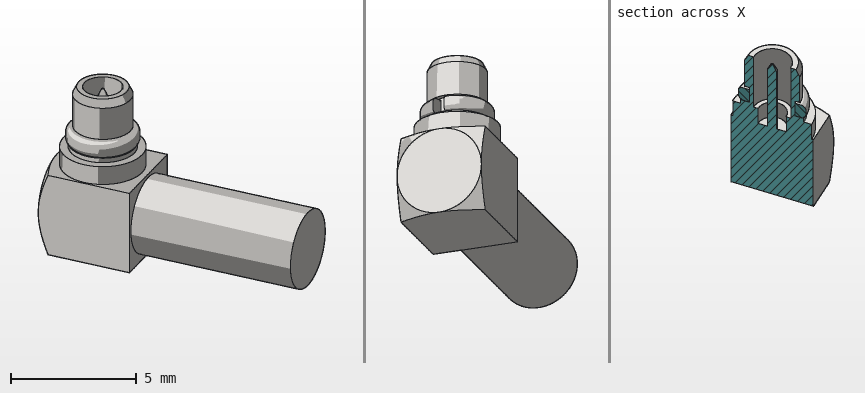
import cadquery as cq
import math


total_length = 11.0
block_length = 4.0
block_side = 3.6
bevel_angle = 30.0
barrel_diameter = 3.3

socket_x = block_length / 2
total_height = 7.1
collar_radius = 1.73
collar_height = 0.8
seat_radius = 1.39
seat_height = 0.2
groove_radius = 1.0
head_radius = 1.21
head_bottom = 5.36
head_chamfer_height = 0.33
rim_radius = 1.05
collar_top = block_side + collar_height
seat_top = collar_top + seat_height

bore_radius = 0.8
inner_bore_radius = 0.6
pin_radius = 0.21
pin_tip_radius = 0.04
pin_top = total_height - 0.1
pin_tip_height = 0.34

ring_radius = 1.48
ring_height = 0.67
ring_round = 0.23
gap_start_angle = 160.0
gap_end_angle = 180.0


def revolve_on_socket_axis(profile, angle=360):
    """Revolve an XZ profile about the Z axis, then move it to the socket."""
    return profile.close().revolve(angle, (0, 0, 0), (0, 1, 0))


def make_block():
    """Square block whose -X end is bevelled by a cone that touches the four sides."""
    block = cq.Workplane("XY").box(block_length, block_side, block_side, centered=(False, True, False))
    face_radius = block_side / 2
    cone_radius = 2 * face_radius
    cone_length = (cone_radius - face_radius) * math.tan(math.radians(bevel_angle))
    envelope = (
        cq.Workplane("XY")
        .lineTo(0, face_radius)
        .lineTo(cone_length, cone_radius)
        .lineTo(block_length, cone_radius)
        .lineTo(block_length, 0)
        .close()
        .revolve(360, (0, 0, 0), (1, 0, 0))
        .translate((0, 0, block_side / 2))
    )
    return block.intersect(envelope)


def make_barrel():
    """Cable barrel, centred on the +X face of the block."""
    return (
        cq.Workplane("YZ", origin=(block_length, 0, block_side / 2))
        .circle(barrel_diameter / 2)
        .extrude(total_length - block_length)
    )


def make_socket():
    """Collar, ring seat, groove and chamfered head, hollowed by a stepped bore."""
    profile = (
        cq.Workplane("XZ")
        .moveTo(inner_bore_radius, block_side)
        .lineTo(collar_radius, block_side)
        .lineTo(collar_radius, collar_top)
        .lineTo(seat_radius, collar_top)
        .lineTo(seat_radius, seat_top)
        .lineTo(groove_radius, seat_top)
        .lineTo(groove_radius, head_bottom)
        .lineTo(head_radius, head_bottom)
        .lineTo(head_radius, total_height - head_chamfer_height)
        .lineTo(rim_radius, total_height)
        .lineTo(bore_radius, total_height)
        .lineTo(bore_radius, collar_top)
        .lineTo(inner_bore_radius, collar_top)
    )
    return revolve_on_socket_axis(profile).translate((socket_x, 0, 0))


def make_pin():
    """Contact pin with a tapered tip, standing on the floor of the bore."""
    profile = (
        cq.Workplane("XZ")
        .moveTo(0, block_side)
        .lineTo(pin_radius, block_side)
        .lineTo(pin_radius, pin_top - pin_tip_height)
        .lineTo(pin_tip_radius, pin_top)
        .lineTo(0, pin_top)
    )
    return revolve_on_socket_axis(profile).translate((socket_x, 0, 0))


def make_snap_ring():
    """Split ring in the groove, with rounded outer edges and radial ends."""
    ring_top = seat_top + ring_height
    profile = (
        cq.Workplane("XZ")
        .moveTo(groove_radius, seat_top)
        .lineTo(ring_radius - ring_round, seat_top)
        .radiusArc((ring_radius, seat_top + ring_round), -ring_round)
        .lineTo(ring_radius, ring_top - ring_round)
        .radiusArc((ring_radius - ring_round, ring_top), -ring_round)
        .lineTo(groove_radius, ring_top)
    )
    sweep_angle = 360 - (gap_end_angle - gap_start_angle)
    ring = revolve_on_socket_axis(profile, sweep_angle)
    return ring.rotate((0, 0, 0), (0, 0, 1), gap_end_angle).translate((socket_x, 0, 0))


connector = make_block().union(make_barrel()).union(make_socket()).union(make_pin())
snap_ring = make_snap_ring()

result = cq.Compound.makeCompound([connector.val(), snap_ring.val()])